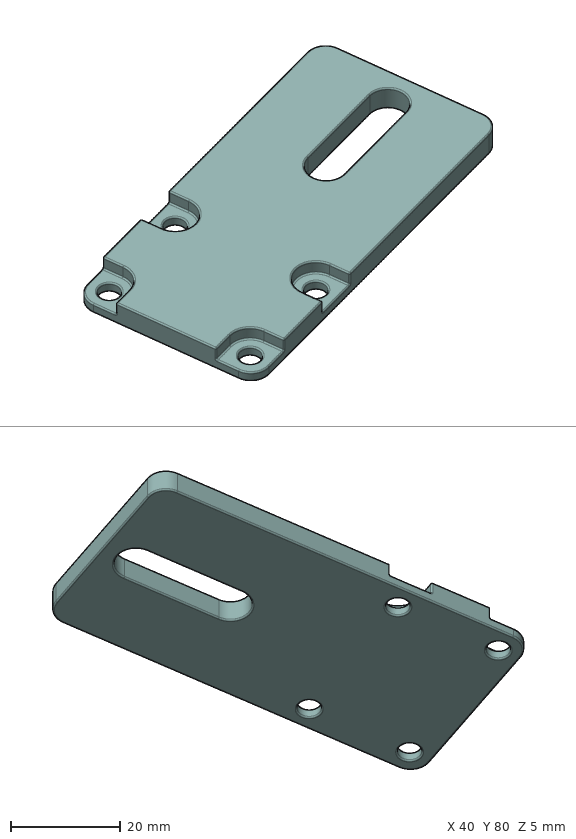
import cadquery as cq
LENGTH = 80.0
WIDTH = LENGTH / 2
THICKNESS = 5.0
CORNER_RADIUS = 4.0
EDGE_FILLET = 0.3

HOLE_DIAMETER = 4.5
HOLE_INSET = 4.5
HOLE_PITCH = 21.5
SEAT_RADIUS = HOLE_INSET
SEAT_FLOOR = 2.2

SLOT_WIDTH = 8.0
SLOT_LENGTH = 28.2
SLOT_END_GAP = 3.4

HOLE_X = WIDTH / 2 - HOLE_INSET
FRONT_HOLE_Y = -LENGTH / 2 + HOLE_INSET
REAR_HOLE_Y = FRONT_HOLE_Y + HOLE_PITCH
SLOT_Y = LENGTH / 2 - SLOT_END_GAP - SLOT_LENGTH / 2
SEAT_REACH = 2 * HOLE_INSET
SIDES = (-1, 1)
TOLERANCE = 0.01


def make_plate():
    plate = cq.Workplane("XY").box(WIDTH, LENGTH, THICKNESS, centered=(True, True, False))
    return plate.edges("|Z").fillet(CORNER_RADIUS)


def make_seat(side, y, open_front):
    """Round-ended pocket over a hole, open to one long side and, if asked, to the front end."""
    depth = THICKNESS - SEAT_FLOOR
    base = cq.Workplane("XY", origin=(side * HOLE_X, y, SEAT_FLOOR))
    seat = base.circle(SEAT_RADIUS).extrude(depth)
    side_opening = base.center(side * SEAT_REACH / 2, 0).rect(SEAT_REACH, 2 * SEAT_RADIUS)
    seat = seat.union(side_opening.extrude(depth))
    if open_front:
        front_width = SEAT_RADIUS + SEAT_REACH
        front_x = side * (SEAT_REACH - SEAT_RADIUS) / 2
        front_opening = base.center(front_x, -SEAT_REACH / 2).rect(front_width, SEAT_REACH)
        seat = seat.union(front_opening.extrude(depth))
    return seat.clean().faces("<Z").edges().fillet(EDGE_FILLET)


def make_holes():
    points = [(side * HOLE_X, y) for side in SIDES for y in (FRONT_HOLE_Y, REAR_HOLE_Y)]
    return cq.Workplane("XY").pushPoints(points).circle(HOLE_DIAMETER / 2).extrude(THICKNESS)


def make_slot():
    outline = cq.Workplane("XY", origin=(0, SLOT_Y, 0)).slot2D(SLOT_LENGTH, SLOT_WIDTH, 90)
    return outline.extrude(THICKNESS)


def is_seat_mouth(edge):
    """Upright edges lying wholly above the seat floors."""
    return edge.Center().z > (SEAT_FLOOR + THICKNESS) / 2


def is_hole_rim(edge):
    """Upper rims of the screw holes, on the seat floors."""
    matches_hole = abs(edge.radius() - HOLE_DIAMETER / 2) < TOLERANCE
    return matches_hole and edge.Center().z > SEAT_FLOOR / 2


def round_edges(body):
    """Fillet the outside edges; each seat mouth carries on along the rim of its floor."""
    flat_edges = body.faces("<Z or >Z").edges()
    mouth_edges = body.faces("<X or >X or <Y").edges("|Z").filter(is_seat_mouth)
    hole_rims = body.edges("%CIRCLE").filter(is_hole_rim)
    return flat_edges.add(mouth_edges).add(hole_rims).fillet(EDGE_FILLET)


body = make_plate()
for side in SIDES:
    body = body.cut(make_seat(side, FRONT_HOLE_Y, True))
    body = body.cut(make_seat(side, REAR_HOLE_Y, False))
body = body.cut(make_holes()).cut(make_slot())

result = round_edges(body)